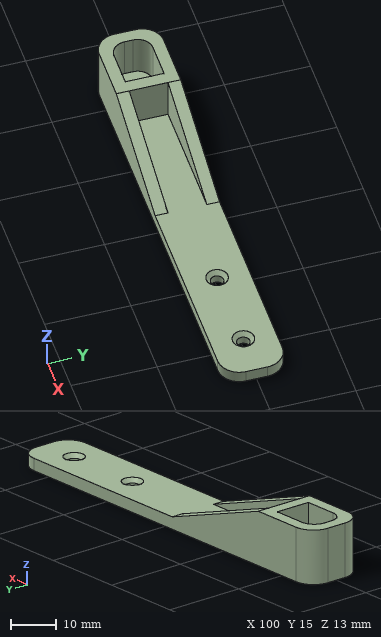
import cadquery as cq

length = 100.0
width = 15.0
height = 13.0
corner_radius = 5.0

plate_thickness = 3.0
wall = 3.0
block_length = 18.0
slope_end = 47.5

socket_length = block_length - 2 * wall
socket_width = width - 2 * wall
socket_corner_radius = 3.5

hole_positions = (70.0, 90.0)
hole_diameter = 3.0
countersink_diameter = 5.0
countersink_angle = 90.0


def make_body():
    """Side profile of block, slope and plate, with rounded vertical corners."""
    profile = (
        cq.Workplane("XZ", origin=(0, width / 2, 0))
        .moveTo(0, 0)
        .lineTo(length, 0)
        .lineTo(length, plate_thickness)
        .lineTo(slope_end, plate_thickness)
        .lineTo(block_length, height)
        .lineTo(0, height)
        .close()
    )
    body = profile.extrude(width)
    return body.edges("|Z and (<X or >X)").fillet(corner_radius)


def make_upper_pocket(start, end):
    """Cutter as wide as the socket, open upward from the top of the plate."""
    return (
        cq.Workplane("XY", origin=((start + end) / 2, 0, plate_thickness))
        .rect(end - start, socket_width)
        .extrude(height - plate_thickness)
    )


def make_socket():
    """Blind socket with its outer two corners rounded."""
    socket = make_upper_pocket(wall, wall + socket_length)
    return socket.edges("|Z and <X").fillet(socket_corner_radius)


def drill_holes(body):
    """Countersunk through holes along the centre line of the plate."""
    return (
        body.copyWorkplane(cq.Workplane("XY", origin=(0, 0, plate_thickness)))
        .pushPoints([(x, 0) for x in hole_positions])
        .cskHole(hole_diameter, countersink_diameter, countersink_angle)
    )


body = make_body()
body = body.cut(make_upper_pocket(block_length, slope_end))
body = body.cut(make_socket())
result = drill_holes(body)